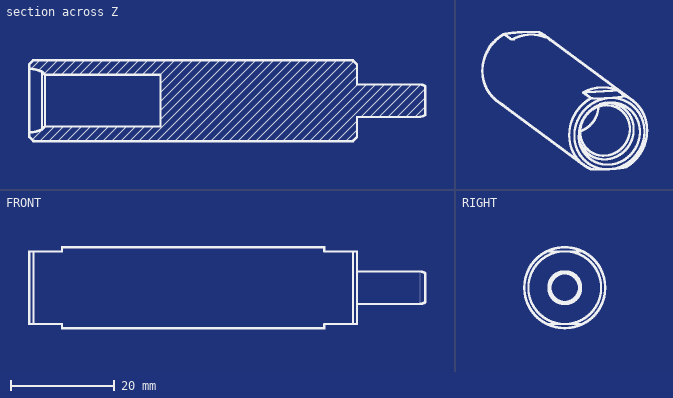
import cadquery as cq
import math

body_diameter = 15.72
body_length = 63.5
body_radius = body_diameter / 2
end_chamfer = 0.8

across_flats = 14.1
flat_length = 6.35

stud_diameter = 6.35
overall_length = 76.71
stud_radius = stud_diameter / 2
tip_length = 1.05
tip_drop = 0.4

mouth_radius = 6.15
throat_radius = 5.6
bore_radius = 5.0
throat_depth = 2.45
cone_depth = throat_depth + throat_radius - bore_radius
bore_depth = 25.4


def tangent_arc_middle(start, end):
    """Middle point of the arc from start to end that leaves start parallel to X."""
    length = end[0] - start[0]
    drop = start[1] - end[1]
    arc_radius = (length**2 + drop**2) / (2 * drop)
    half_angle = math.asin(length / arc_radius) / 2
    return (
        start[0] + arc_radius * math.sin(half_angle),
        start[1] - arc_radius * (1 - math.cos(half_angle)),
    )


def revolve_about_x(profile):
    return profile.close().revolve(360, (0, 0, 0), (1, 0, 0))


def make_body():
    bar = cq.Workplane("YZ").circle(body_radius).extrude(body_length)
    return bar.faces("<X or >X").chamfer(end_chamfer)


def make_stud():
    tip_start = (overall_length - tip_length, stud_radius)
    tip_end = (overall_length, stud_radius - tip_drop)
    profile = (
        cq.Workplane("XY")
        .moveTo(body_length, 0)
        .lineTo(body_length, stud_radius)
        .lineTo(*tip_start)
        .threePointArc(tangent_arc_middle(tip_start, tip_end), tip_end)
        .lineTo(overall_length, 0)
    )
    return revolve_about_x(profile)


def make_bore():
    mouth = (0, mouth_radius)
    throat = (throat_depth, throat_radius)
    profile = (
        cq.Workplane("XY")
        .lineTo(*mouth)
        .threePointArc(tangent_arc_middle(mouth, throat), throat)
        .lineTo(cone_depth, bore_radius)
        .lineTo(bore_depth, bore_radius)
        .lineTo(bore_depth, 0)
    )
    return revolve_about_x(profile)


def cut_flats(part):
    slab_height = body_radius - across_flats / 2
    slab_offset = across_flats / 2 + slab_height / 2
    for x in (flat_length / 2, body_length - flat_length / 2):
        for side in (1, -1):
            slab = cq.Workplane("XY").box(flat_length, body_diameter, slab_height)
            part = part.cut(slab.translate((x, 0, side * slab_offset)))
    return part


result = cut_flats(make_body()).union(make_stud()).cut(make_bore())